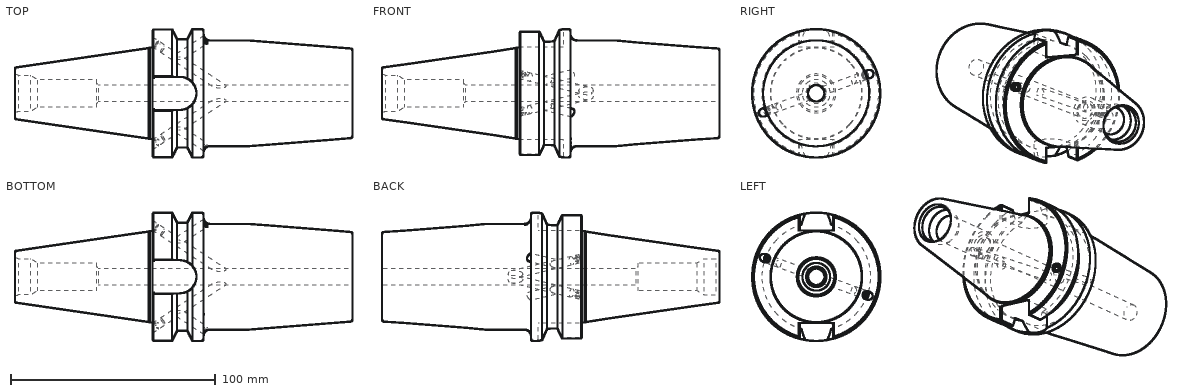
import cadquery as cq
import math

rear_x = -65.41
nose_x = 100.0
gauge_radius = 44.45 / 2
taper_slope = 7 / 48
rear_radius = gauge_radius + rear_x * taper_slope
rear_rounding = 0.8

collar_radius = 22.5
collar_start_x = 0.1
collar_end_x = 0.8

flange_start_x = 2.0
flange_end_x = 27.0
front_flange_radius = 62.99 / 2
rear_flange_radius = 31.45
rear_flange_chamfer_length = 0.5
rear_flange_chamfer_height = 0.9
front_flange_rounding = 1.0
groove_center_x = 16.57
groove_radius = 26.6
groove_floor_width = 4.95
groove_top_width = 9.9

body_radius = 52 / 2
neck_fillet = 3.0
body_end_x = 48.9
nose_radius = 43.94 / 2
nose_rounding = 1.1

mouth_radius = 9.6
pilot_radius = 17.62 / 2
mouth_chamfer = 1.7
pilot_depth = 7.5
thread_radius = 8.25
thread_depth = 8.7
core_radius = 13.6 / 2
core_start_depth = 11.0
core_depth = 40.0
throat_radius = 5.0
coolant_radius = 4.0

key_half_width = 8.1
key_floor_z = 22.6
key_end_x = 23.5
key_edge_chamfer = 0.6
key_floor_fillet = 0.5
key_entry_overrun = 1.0

channel_plane_angle = 20.0
channel_tilt = math.radians(35)
channel_radius = 4.1 / 2
mouth_center_radius = 26.8
branch_mouth_x = 26.2
mouth_overrun = 3.0
screw_depth = 2.2
screw_length = 4.0
socket_across_flats = 2.0
socket_depth = 1.5

half_turns = (0, 180)


def make_profile():
    """Half outline of the holder above the X axis."""
    floor_half = groove_floor_width / 2
    top_half = groove_top_width / 2
    return (
        cq.Workplane("XY")
        .moveTo(rear_x, 0)
        .lineTo(rear_x, rear_radius)
        .lineTo(0, gauge_radius)
        .lineTo(collar_start_x, gauge_radius)
        .lineTo(collar_end_x, collar_radius)
        .lineTo(flange_start_x, collar_radius)
        .lineTo(flange_start_x, rear_flange_radius - rear_flange_chamfer_height)
        .lineTo(flange_start_x + rear_flange_chamfer_length, rear_flange_radius)
        .lineTo(groove_center_x - top_half, rear_flange_radius)
        .lineTo(groove_center_x - floor_half, groove_radius)
        .lineTo(groove_center_x + floor_half, groove_radius)
        .lineTo(groove_center_x + top_half, front_flange_radius)
        .lineTo(flange_end_x - front_flange_rounding, front_flange_radius)
        .radiusArc((flange_end_x, front_flange_radius - front_flange_rounding), front_flange_rounding)
        .lineTo(flange_end_x, body_radius + neck_fillet)
        .radiusArc((flange_end_x + neck_fillet, body_radius), -neck_fillet)
        .lineTo(body_end_x, body_radius)
        .lineTo(nose_x, nose_radius)
        .lineTo(nose_x, 0)
        .close()
    )


def make_bore():
    """Revolved cutter: mouth, pilot, thread bore and coolant hole."""
    return (
        cq.Workplane("XY")
        .moveTo(rear_x, 0)
        .lineTo(rear_x, mouth_radius)
        .lineTo(rear_x + mouth_chamfer, pilot_radius)
        .lineTo(rear_x + pilot_depth, pilot_radius)
        .lineTo(rear_x + thread_depth, thread_radius)
        .lineTo(rear_x + core_start_depth, core_radius)
        .lineTo(rear_x + core_depth, core_radius)
        .lineTo(rear_x + core_depth, throat_radius)
        .lineTo(rear_x + core_depth + throat_radius - coolant_radius, coolant_radius)
        .lineTo(nose_x, coolant_radius)
        .lineTo(nose_x, 0)
        .close()
        .revolve(360, (0, 0, 0), (1, 0, 0))
    )


def make_keyway():
    """Keyway cutter on +Z: a round-ended slot with a filleted floor and bevelled entry edges."""
    open_x = flange_start_x - key_entry_overrun
    arc_center_x = key_end_x - key_half_width
    slot = (
        cq.Workplane("XY", origin=(0, 0, key_floor_z))
        .moveTo(open_x, -key_half_width)
        .lineTo(arc_center_x, -key_half_width)
        .threePointArc((key_end_x, 0), (arc_center_x, key_half_width))
        .lineTo(open_x, key_half_width)
        .close()
        .extrude(front_flange_radius)
        .faces("<Z")
        .edges("not <X")
        .fillet(key_floor_fillet)
    )
    wide_half_width = key_half_width + key_edge_chamfer
    rear_bevel = (
        cq.Workplane("XY", origin=(0, 0, key_floor_z))
        .moveTo(flange_start_x, -wide_half_width)
        .lineTo(flange_start_x + key_edge_chamfer, -key_half_width)
        .lineTo(flange_start_x + key_edge_chamfer, key_half_width)
        .lineTo(flange_start_x, wide_half_width)
        .close()
        .extrude(front_flange_radius)
    )
    wall_top_z = math.sqrt(rear_flange_radius**2 - key_half_width**2)
    bevel_start_z = wall_top_z - key_edge_chamfer
    rise = 2 * key_edge_chamfer
    top_bevel = (
        cq.Workplane("YZ", origin=(flange_start_x, 0, 0))
        .moveTo(-key_half_width, bevel_start_z)
        .lineTo(key_half_width, bevel_start_z)
        .lineTo(key_half_width + rise, bevel_start_z + rise)
        .lineTo(-key_half_width - rise, bevel_start_z + rise)
        .close()
        .extrude(groove_center_x - flange_start_x)
    )
    return slot.union(rear_bevel).union(top_bevel)


def channel_start(x, x_direction):
    """Plane at a channel mouth on +Y; its normal runs along X by `x_direction` and toward the axis."""
    inward = (x_direction * math.cos(channel_tilt), -math.sin(channel_tilt), 0)
    return cq.Plane(origin=(x, mouth_center_radius, 0), xDir=(0, 0, 1), normal=inward)


def make_channel(start, length):
    return (
        cq.Workplane(start)
        .workplane(offset=-mouth_overrun)
        .circle(channel_radius)
        .extrude(mouth_overrun + length)
    )


def make_plug_screw():
    socket_corner_diameter = 2 * socket_across_flats / math.sqrt(3)
    return (
        cq.Workplane(channel_start(flange_start_x, 1))
        .workplane(offset=screw_depth)
        .circle(channel_radius)
        .extrude(screw_length)
        .faces("<X")
        .workplane()
        .polygon(6, socket_corner_diameter)
        .cutBlind(-socket_depth)
    )


def turn_about_axis(shape, angle):
    return shape.rotate((0, 0, 0), (1, 0, 0), angle)


def make_holder():
    holder = make_profile().revolve(360, (0, 0, 0), (1, 0, 0))
    holder = holder.faces("<X").edges().fillet(rear_rounding)
    holder = holder.faces(">X").edges().fillet(nose_rounding)
    holder = holder.cut(make_bore())

    channel_length = mouth_center_radius / math.sin(channel_tilt)
    branch_length = (branch_mouth_x - flange_start_x) / 2 / math.cos(channel_tilt)
    channel = make_channel(channel_start(flange_start_x, 1), channel_length)
    branch = make_channel(channel_start(branch_mouth_x, -1), branch_length)
    for half_turn in half_turns:
        holder = holder.cut(turn_about_axis(make_keyway(), half_turn))
        holder = holder.cut(turn_about_axis(channel, channel_plane_angle + half_turn))
        holder = holder.cut(turn_about_axis(branch, channel_plane_angle + half_turn))
    return holder


holder = make_holder()
plug_screws = []
for half_turn in half_turns:
    plug_screws.append(turn_about_axis(make_plug_screw(), channel_plane_angle + half_turn))

result = cq.Compound.makeCompound([holder.val(), *[screw.val() for screw in plug_screws]])